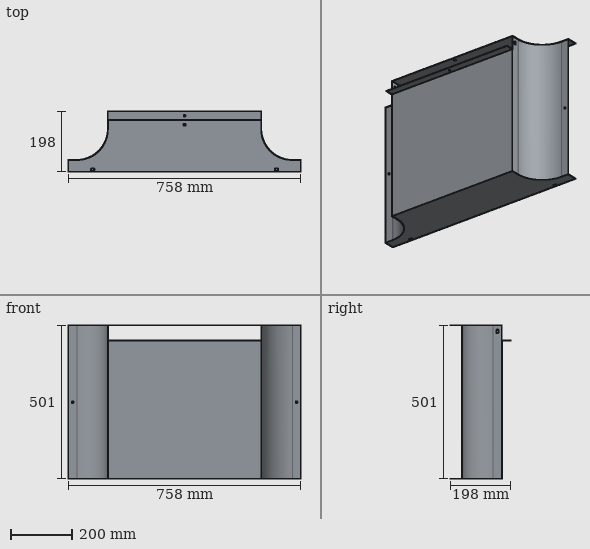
import cadquery as cq
import math

width = 758.0
height = 501.0
sheet = 1.0

lip_depth = 39.5
curve_radius = 100.0
wall_flat = 29.0
rear_flange = 29.5
body_depth = lip_depth + curve_radius + wall_flat

side_flange = 29.0
half_width = width / 2
curve_start_x = half_width - side_flange
wall_x = curve_start_x - curve_radius
curve_end_y = lip_depth + curve_radius
rear_panel_height = 452.0

screw_diameter = 5.0
top_hole_diameter = 7.0
slot_width = 7.0
rear_hole_inset = 14.5
slot_length = 11.0
plate_slot_x = 299.5
plate_slot_y = 7.5
wall_slot_drop = 20.5
cutter_length = 4 * sheet


def trace_side(outline):
    """Outer face of the right side, from the front flange to the back edge."""
    diagonal = curve_radius * math.sqrt(0.5)
    return (
        outline.lineTo(curve_start_x, lip_depth)
        .threePointArc((curve_start_x - diagonal, curve_end_y - diagonal), (wall_x, curve_end_y))
        .lineTo(wall_x, body_depth)
    )


def end_plate(bottom_z):
    """Flat plate closing one end, with two slots near its front edge."""
    half = cq.Workplane("XY", origin=(0, 0, bottom_z)).lineTo(half_width, 0).lineTo(half_width, lip_depth)
    half = trace_side(half).lineTo(0, body_depth).close().extrude(sheet)
    plate = half.union(half.mirror("YZ"))
    slots = (
        cq.Workplane("XY", origin=(0, 0, bottom_z - sheet))
        .pushPoints([(-plate_slot_x, plate_slot_y), (plate_slot_x, plate_slot_y)])
        .slot2D(slot_length, slot_width)
        .extrude(cutter_length)
    )
    return plate.cut(slots)


def right_side():
    """Curved side sheet with its front flange, a screw hole and a slot near the top."""
    radius = curve_radius + sheet
    diagonal = radius * math.sqrt(0.5)
    outline = trace_side(cq.Workplane("XY").moveTo(half_width, lip_depth))
    outline = (
        outline.lineTo(wall_x - sheet, body_depth)
        .lineTo(wall_x - sheet, curve_end_y)
        .threePointArc(
            (curve_start_x - diagonal, curve_end_y - diagonal),
            (curve_start_x, lip_depth - sheet),
        )
        .lineTo(half_width, lip_depth - sheet)
        .close()
    )
    screw_hole = (
        cq.Workplane("XZ", origin=(half_width - side_flange / 2, lip_depth + sheet, height / 2))
        .circle(screw_diameter / 2)
        .extrude(cutter_length)
    )
    wall_slot = (
        cq.Workplane("YZ", origin=(wall_x - 2 * sheet, body_depth - rear_hole_inset, height - wall_slot_drop))
        .slot2D(slot_length, slot_width, 90)
        .extrude(cutter_length)
    )
    return outline.extrude(height).cut(screw_hole).cut(wall_slot)


def rear_panel():
    """Sheet fixed behind the body, lower than the sides, with its top edge bent backwards."""
    panel = cq.Workplane("XY", origin=(0, body_depth + sheet / 2, 0)).box(
        2 * wall_x, sheet, rear_panel_height, centered=(True, True, False)
    )
    flange = (
        cq.Workplane("XY", origin=(0, body_depth, rear_panel_height - sheet))
        .box(2 * wall_x, rear_flange, sheet, centered=(True, False, False))
    )
    screw_hole = (
        cq.Workplane("XY", origin=(0, body_depth + rear_flange / 2, rear_panel_height - 2 * sheet))
        .circle(screw_diameter / 2)
        .extrude(cutter_length)
    )
    return panel.union(flange).cut(screw_hole)


top_hole = (
    cq.Workplane("XY", origin=(0, body_depth - rear_hole_inset, height - 2 * sheet))
    .circle(top_hole_diameter / 2)
    .extrude(cutter_length)
)
top_plate = end_plate(height - sheet).cut(top_hole)
side = right_side()

result = (
    end_plate(0)
    .union(top_plate)
    .union(side)
    .union(side.mirror("YZ"))
    .union(rear_panel())
)